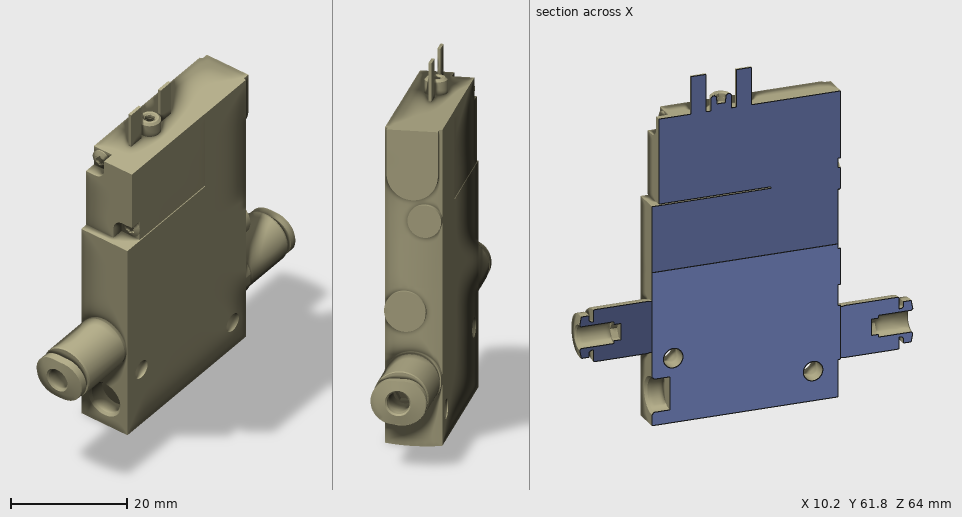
import cadquery as cq
import math

total_depth = 61.8
total_height = 64.0
half_width = 5.0
width = 2 * half_width

split_height = 28.6
housing_height = 57.0
side_depth = 33.6
crown_depth = 34.55
rear_depth = 35.0

pilot_front = 1.3
pilot_rear = 22.1
pilot_bottom = 41.1
pilot_gap = 0.2
pilot_side_inset = 0.03

screw_edge_x = 1.7
screw_edge_z = 2.05
screw_head_diameter = 3.6
screw_head_height = 0.7
screw_rim_height = 0.2
pocket_width = 4.0
pocket_height = 4.1
pocket_radius = 2.0
pocket_floor = 3.5
torx_diameter = 2.0
torx_core_diameter = 1.55
torx_depth = 0.6
torx_lobes = 6
hex_sides = 6

override_y = 12.85
override_diameter = 4.0
override_height = 2.75
override_chamfer = 0.4
override_mouth_diameter = 2.4
override_hex_corners = 2.0
override_drill_diameter = 1.55
override_hex_depth = 0.95
override_drill_depth = 1.6
terminal_spacing = 8.4
terminal_width = 2.9
terminal_thickness = 0.6

boss_root = pilot_rear
tab_half_width = 4.5
tab_arc_height = 48.95
cover_boss_diameter = 5.9
cover_boss_x = -2.1
cover_boss_height = 40.8
button_diameter = 7.3
button_x = 1.3
button_height = 24.3
seat_boss_diameter = 10.2

mounting_hole_diameter = 3.5
mounting_holes = [(4.0, 12.0), (29.9, 5.6)]
port_mouth_diameter = 7.0
port_diameter = 6.1
port_height = 5.6
port_depth = 3.3
port_chamfer = (port_mouth_diameter - port_diameter) / 2

front_fitting_height = 18.5
rear_fitting_height = 12.0
fitting_length = (total_depth - rear_depth) / 2
sleeve_diameter = 9.8
sleeve_end_diameter = 9.6
sleeve_start = 0.4
sleeve_bevel = 0.3
sleeve_end = 10.8
neck_diameter = 5.4
neck_flare_diameter = 5.9
neck_flare_start = 11.25
collar_start = 11.6
collar_bevel = 0.1
collar_rim = 12.9
collar_height = 7.8
bore_mouth_diameter = 4.55
bore_diameter = 4.0
bore_depth = 6.4
bore_hex_corners = 3.4
bore_hex_depth = 1.3
bore_chamfer = (bore_mouth_diameter - bore_diameter) / 2


def block(x_range, y_range, z_range):
    """Box between the given limits."""
    sizes = [high - low for low, high in (x_range, y_range, z_range)]
    corner = (x_range[0], y_range[0], z_range[0])
    return cq.Workplane("XY").box(*sizes, centered=False).translate(corner)


def crowned_block(bottom, top):
    """Full-width block with flat sides and a rear face crowned about a vertical axis."""
    return (
        cq.Workplane("XY", origin=(0, 0, bottom))
        .moveTo(-half_width, 0)
        .lineTo(half_width, 0)
        .lineTo(half_width, side_depth)
        .threePointArc((0, crown_depth), (-half_width, side_depth))
        .close()
        .extrude(top - bottom)
    )


def facing_rear(x, y, z):
    """Workplane at a point, with its normal along +Y and its local y along Z."""
    return cq.Workplane(cq.Plane(origin=(x, y, z), xDir=(-1, 0, 0), normal=(0, 1, 0)))


def rear_boss(x, z, diameter):
    """Round boss on the crowned rear face, trimmed flush with the sides."""
    boss = facing_rear(x, boss_root, z).circle(diameter / 2).extrude(rear_depth - boss_root)
    return boss.intersect(block((-half_width, half_width), (boss_root, rear_depth), (0, housing_height)))


def make_base():
    """Lower housing with the mounting holes, the open port and the rear bosses."""
    base = crowned_block(0, split_height)
    base = base.union(rear_boss(0, rear_fitting_height, seat_boss_diameter))
    base = base.union(rear_boss(button_x, button_height, button_diameter))
    through = cq.Workplane("YZ", origin=(-half_width, 0, 0)).pushPoints(mounting_holes)
    base = base.cut(through.circle(mounting_hole_diameter / 2).extrude(width))
    port = (
        cq.Workplane("XY", origin=(0, 0, port_height))
        .lineTo(port_mouth_diameter / 2, 0)
        .lineTo(port_diameter / 2, port_chamfer)
        .lineTo(port_diameter / 2, port_depth)
        .lineTo(0, port_depth)
        .close()
        .revolve(360, (0, 0, 0), (0, 1, 0))
    )
    return base.cut(port)


def torx_socket():
    """Six-lobed recess cut down from z = 0."""
    lobe_diameter = torx_diameter - torx_core_diameter
    core = cq.Workplane("XY").circle(torx_core_diameter / 2).extrude(-torx_depth)
    lobes = (
        cq.Workplane("XY")
        .polarArray(torx_core_diameter / 2, 90, 360, torx_lobes)
        .circle(lobe_diameter / 2)
        .extrude(-torx_depth)
    )
    return core.union(lobes)


def screw_head():
    """Domed screw head standing on the pocket floor at the origin and facing -Y."""
    radius = screw_head_diameter / 2
    rise = screw_head_height - screw_rim_height
    dome_radius = (radius**2 + rise**2) / (2 * rise)
    half_chord = radius / 2
    half_rise = math.sqrt(dome_radius**2 - half_chord**2) - (dome_radius - screw_head_height)
    head = (
        cq.Workplane("XZ")
        .lineTo(radius, 0)
        .lineTo(radius, screw_rim_height)
        .threePointArc((half_chord, half_rise), (0, screw_head_height))
        .close()
        .revolve(360, (0, 0, 0), (0, 1, 0))
    )
    head = head.cut(torx_socket().translate((0, 0, screw_head_height)))
    return head.rotate((0, 0, 0), (1, 0, 0), 90)


def screw_pocket():
    """Pocket open at the upper end and at the -X side of the pilot block."""
    left = -half_width
    pocket = block(
        (left, left + pocket_width),
        (pilot_front, pocket_floor),
        (housing_height - pocket_height, housing_height),
    )
    return pocket.edges("|Y and >X and <Z").fillet(pocket_radius)


def add_screws(body):
    """Sink one screw into the upper -X corner and one into the lower +X corner."""
    head = screw_head().translate((screw_edge_x - half_width, pocket_floor, housing_height - screw_edge_z))
    pilot_middle = (housing_height + pilot_bottom) / 2
    for angle in (0, 180):
        axis = ((0, 0, pilot_middle), (0, 1, pilot_middle))
        body = body.cut(screw_pocket().rotate(*axis, angle))
        body = body.union(head.rotate(*axis, angle))
    return body


def shape_pilot(body):
    """Step back the pilot front, inset its sides and open the gap below it."""
    pilot_floor = pilot_bottom - pilot_gap
    full_x = (-half_width, half_width)
    body = body.cut(block(full_x, (0, pilot_front), (pilot_floor, housing_height)))
    body = body.cut(block(full_x, (pilot_front, pilot_rear), (pilot_floor, pilot_bottom)))
    inset_x = half_width - pilot_side_inset
    for side_x in ((-half_width, -inset_x), (inset_x, half_width)):
        body = body.cut(block(side_x, (pilot_front, pilot_rear), (pilot_bottom, housing_height)))
    return body


def rear_tab():
    """Plate on the rear face with a half-round lower end."""
    outline = (
        facing_rear(0, boss_root, 0)
        .moveTo(-tab_half_width, housing_height)
        .lineTo(-tab_half_width, tab_arc_height)
        .threePointArc((0, tab_arc_height - tab_half_width), (tab_half_width, tab_arc_height))
        .lineTo(tab_half_width, housing_height)
        .close()
    )
    return outline.extrude(rear_depth - boss_root)


def terminals():
    """Two flat blades, one on each side of the manual override."""
    offset = terminal_spacing / 2
    return (
        cq.Workplane("XY", origin=(0, override_y, housing_height))
        .pushPoints([(0, -offset), (0, offset)])
        .rect(terminal_thickness, terminal_width)
        .extrude(total_height - housing_height)
    )


def manual_override():
    """Chamfered stud with a countersunk hexagon socket and a drilled centre."""
    stud = cq.Workplane("XY").circle(override_diameter / 2).extrude(override_height)
    stud = stud.faces(">Z").chamfer(override_chamfer)
    countersink = (override_mouth_diameter - override_hex_corners) / 2
    top = cq.Workplane("XY", origin=(0, 0, override_height))
    mouth = top.circle(override_mouth_diameter / 2).extrude(-countersink, taper=45)
    hexagon = top.polygon(hex_sides, override_hex_corners).extrude(-override_hex_depth)
    drill = top.circle(override_drill_diameter / 2).extrude(-override_drill_depth)
    for cutter in (mouth, hexagon, drill):
        stud = stud.cut(cutter)
    return stud.translate((0, override_y, housing_height))


def make_upper():
    """Upper housing with the pilot block, its screws, the terminals and the override."""
    upper = crowned_block(split_height, housing_height)
    upper = shape_pilot(upper)
    upper = upper.union(rear_tab())
    upper = upper.union(rear_boss(cover_boss_x, cover_boss_height, cover_boss_diameter))
    upper = add_screws(upper)
    upper = upper.union(terminals())
    return upper.union(manual_override())


def fitting_sleeve():
    """Round sleeve and neck along +Z, from the seat at z = 0 to the collar."""
    end_radius = sleeve_end_diameter / 2
    radius = sleeve_diameter / 2
    return (
        cq.Workplane("XZ")
        .lineTo(end_radius, 0)
        .lineTo(end_radius, sleeve_start)
        .lineTo(radius, sleeve_start + sleeve_bevel)
        .lineTo(radius, sleeve_end - sleeve_bevel)
        .lineTo(end_radius, sleeve_end)
        .lineTo(neck_diameter / 2, sleeve_end)
        .lineTo(neck_diameter / 2, neck_flare_start)
        .lineTo(neck_flare_diameter / 2, collar_start)
        .lineTo(0, collar_start)
        .close()
        .revolve(360, (0, 0, 0), (0, 1, 0))
    )


def fitting_collar():
    """Oblong release collar with a shallow conical end face."""
    oblong = (
        cq.Workplane("XY", origin=(0, 0, collar_start))
        .slot2D(sleeve_diameter, collar_height)
        .extrude(fitting_length - collar_start)
    )
    cone = (
        cq.Workplane("XZ")
        .moveTo(0, collar_start)
        .lineTo(sleeve_diameter / 2, collar_start)
        .lineTo(sleeve_diameter / 2, collar_rim - collar_bevel)
        .lineTo(sleeve_diameter / 2 - collar_bevel, collar_rim)
        .lineTo(bore_mouth_diameter / 2, fitting_length)
        .lineTo(0, fitting_length)
        .close()
        .revolve(360, (0, 0, 0), (0, 1, 0))
    )
    return oblong.intersect(cone)


def make_fitting():
    """Push-in fitting along +Z with a chamfered bore and a hexagon socket at its bottom."""
    end = cq.Workplane("XY", origin=(0, 0, fitting_length))
    mouth = end.circle(bore_mouth_diameter / 2).extrude(-bore_chamfer, taper=45)
    bore = end.circle(bore_diameter / 2).extrude(-bore_depth)
    hexagon = end.polygon(hex_sides, bore_hex_corners).extrude(-(bore_depth + bore_hex_depth))
    fitting = fitting_sleeve().union(fitting_collar())
    for cutter in (mouth, bore, hexagon):
        fitting = fitting.cut(cutter)
    return fitting


fitting_places = [(90, 0, front_fitting_height), (-90, rear_depth, rear_fitting_height)]

base = make_base()
upper = make_upper()
fittings = []
for tilt, seat_y, axis_z in fitting_places:
    placed = make_fitting().rotate((0, 0, 0), (1, 0, 0), tilt).translate((0, seat_y, axis_z))
    fittings.append(placed.val())

result = cq.Compound.makeCompound([base.val(), upper.val(), *fittings])